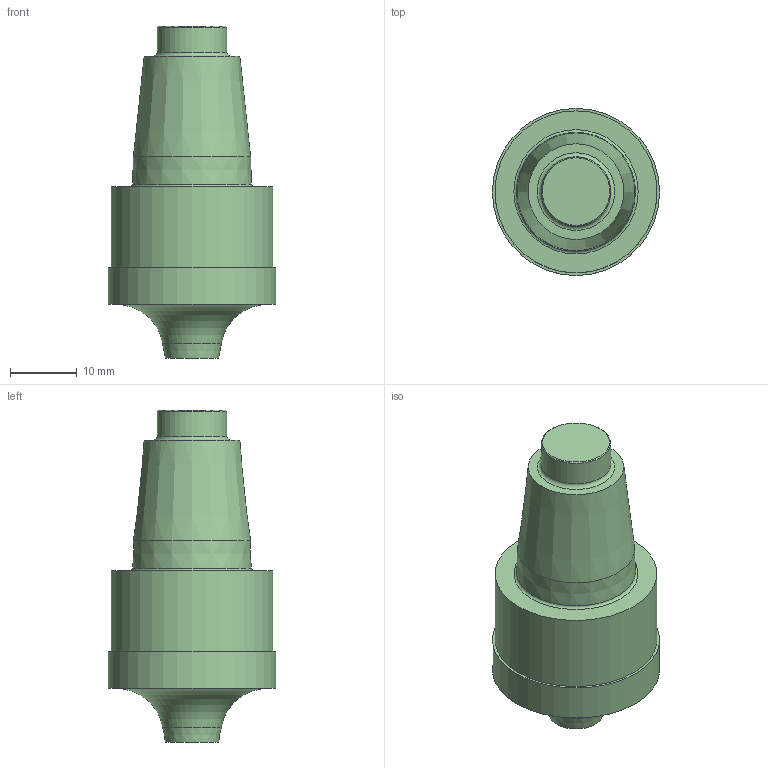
import cadquery as cq
import math

tip_radius = 4.0
tip_half_angle = math.radians(10)
nose_length = 8.0
nose_blend_radius = 7.0

flange_radius = 12.49
flange_thickness = 5.5

barrel_radius = 12.1
barrel_length = 12.1
collar_base_radius = 8.9
collar_length = 4.5
cone_base_radius = 8.75
cone_length = 15.0
cone_top_radius = 7.15
stud_radius = 5.2
stud_length = 4.5
collar_fillet = 0.4
stud_fillet = 0.6
stud_chamfer = 0.15

edge_margin = 0.05

flange_bottom = nose_length
flange_top = flange_bottom + flange_thickness
barrel_top = flange_top + barrel_length
collar_top = barrel_top + collar_length
cone_top = collar_top + cone_length
stud_top = cone_top + stud_length


def make_nozzle():
    """Nose and flange, revolved about Z as one solid."""
    arc_center_z = flange_bottom - nose_blend_radius
    arc_center_r = (
        tip_radius
        + arc_center_z * math.tan(tip_half_angle)
        + nose_blend_radius / math.cos(tip_half_angle)
    )

    def arc_point(angle):
        return (
            arc_center_r - nose_blend_radius * math.cos(angle),
            arc_center_z + nose_blend_radius * math.sin(angle),
        )

    arc_start = tip_half_angle
    arc_end = math.pi / 2
    profile = (
        cq.Workplane("XZ")
        .lineTo(tip_radius, 0)
        .lineTo(*arc_point(arc_start))
        .threePointArc(arc_point((arc_start + arc_end) / 2), arc_point(arc_end))
        .lineTo(flange_radius, flange_bottom)
        .lineTo(flange_radius, flange_top)
        .lineTo(0, flange_top)
        .close()
    )
    return profile.revolve(360, (0, 0), (0, 1))


def circle_at(radius, height):
    """Selector for the circular edge of this radius, centred on Z at this height."""
    reach = radius + edge_margin
    return cq.selectors.BoxSelector(
        (-reach, -reach, height - edge_margin),
        (reach, reach, height + edge_margin),
        boundingbox=True,
    )


def make_holder():
    """Barrel, tapered stages and stud, revolved about Z as one solid."""
    profile = (
        cq.Workplane("XZ")
        .moveTo(0, flange_top)
        .lineTo(barrel_radius, flange_top)
        .lineTo(barrel_radius, barrel_top)
        .lineTo(collar_base_radius, barrel_top)
        .lineTo(cone_base_radius, collar_top)
        .lineTo(cone_top_radius, cone_top)
        .lineTo(stud_radius, cone_top)
        .lineTo(stud_radius, stud_top)
        .lineTo(0, stud_top)
        .close()
    )
    holder = profile.revolve(360, (0, 0), (0, 1))
    holder = holder.edges(circle_at(collar_base_radius, barrel_top)).fillet(collar_fillet)
    holder = holder.edges(circle_at(stud_radius, cone_top)).fillet(stud_fillet)
    return holder.faces(">Z").edges().chamfer(stud_chamfer)


nozzle = make_nozzle()
holder = make_holder()
result = cq.Compound.makeCompound([nozzle.val(), holder.val()])